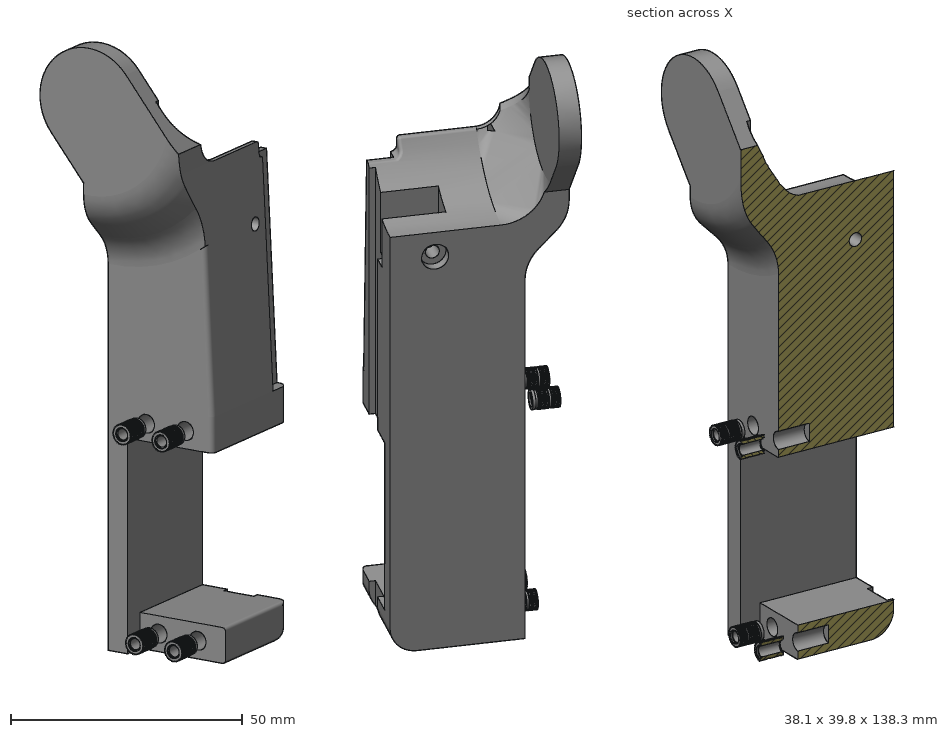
import cadquery as cq
import math

total_height = 138.27
paddle_radius = 12.5
paddle_thickness = 5.0
paddle_overhang = 11.2
paddle_x = paddle_radius - paddle_overhang
paddle_z = total_height - paddle_radius
paddle_lean = math.radians(50.5)

front_y = 9.8
back_y = 39.8
plate_thickness = 5.0
handle_width = 26.9
top_width = 24.0
handle_top = 112.9
taper_bottom = 56.7
window_top = 48.6
window_bottom = 8.1
foot_radius = 6.0
front_edge_radius = 1.2
back_corner_radius = 2.5
block_end_radius = 0.8
lower_block_setback = 5.0

bend_radius = 10.0
bend_angle = math.radians(45)
neck_start_radius = 20.7
bowl_radius = 24.9
bowl_y = paddle_thickness + bend_radius
rim_radius = 5.5
lip_radius = 0.8
shoulder_x = 16.0
shoulder_bevel = (1.0, 2.0)

step_y = 32.5
step_z = 109.0
step_radius = 1.3
rebate_y = step_y + step_radius
rebate_depth = 2.8

slot_left = 7.5
slot_width = 6.8
slot_front_y = 25.6
slot_floor = 90.0
channel_left = 11.4
channel_right = 19.0
channel_depth = 1.4

screw_y = 29.8
screw_z = 95.0
screw_diameter = 3.09
screw_head_diameter = 6.0
screw_head_depth = 2.5

overcut = 1.0
pick_margin = 0.1

insert_columns = (9.8, 19.8)
insert_edge_distance = 4.0
insert_upper_z = window_top + insert_edge_distance
insert_lower_z = window_bottom - insert_edge_distance
insert_hole_diameter = 4.2
insert_hole_depth = 8.0
insert_length = 6.2
insert_diameter = 4.6
insert_groove_diameter = 4.13
insert_bore_diameter = 2.53
insert_entry_diameter = 3.09
insert_entry_depth = 0.4
knurl_depth = 0.15
knurl_teeth = 36
knurl_bands = ((0.0, 2.0), (2.5, 2.5))
lead_collar_diameter = 4.44
lead_collar_length = 0.7


def box(x0, x1, y0, y1, z0, z1):
    """Box between two opposite corners."""
    return cq.Workplane("XY").box(x1 - x0, y1 - y0, z1 - z0, centered=False).translate((x0, y0, z0))


def extrude_y(sketch, y0, y1):
    """Extrude a wire drawn in X-Z from y0 to y1."""
    return sketch.extrude(-(y1 - y0)).translate((0, y0, 0))


def revolve_about_paddle(profile):
    """Turn a (radius, y) profile about the paddle axis."""
    turned = profile.close().revolve(360, (0, 0, 0), (0, 1, 0))
    return turned.translate((paddle_x, 0, paddle_z))


def make_bowl():
    """Hollow behind the paddle, with a round running from the paddle back to its wall."""
    flat_radius = bowl_radius - bend_radius
    diagonal = bend_radius * math.sin(bend_angle)
    profile = (
        cq.Workplane("XY")
        .moveTo(0, paddle_thickness)
        .lineTo(flat_radius, paddle_thickness)
        .threePointArc((flat_radius + diagonal, bowl_y - diagonal), (bowl_radius, bowl_y))
        .lineTo(bowl_radius, back_y + overcut)
        .lineTo(0, back_y + overcut)
    )
    return revolve_about_paddle(profile)


def make_neck():
    """Paddle and the S-shaped neck that carries it down to the handle front."""
    half_angle = bend_angle / 2
    run = bend_radius * math.sin(bend_angle)
    rise = bend_radius * (1 - math.cos(bend_angle))
    mid_run = bend_radius * math.sin(half_angle)
    mid_rise = bend_radius * (1 - math.cos(half_angle))
    straight = (front_y - 2 * rise) / math.tan(bend_angle)
    end_radius = neck_start_radius + 2 * run + straight
    profile = (
        cq.Workplane("XY")
        .lineTo(neck_start_radius, 0)
        .threePointArc((neck_start_radius + mid_run, mid_rise), (neck_start_radius + run, rise))
        .lineTo(end_radius - run, front_y - rise)
        .threePointArc((end_radius - mid_run, front_y - mid_rise), (end_radius, front_y))
        .lineTo(end_radius, bowl_y)
        .lineTo(0, bowl_y)
    )
    turned = revolve_about_paddle(profile)

    offset_x = paddle_radius * math.sin(paddle_lean)
    offset_z = paddle_radius * math.cos(paddle_lean)
    slope = math.tan(paddle_lean)
    left = (paddle_x - offset_x, paddle_z - offset_z)
    right = (paddle_x + offset_x, paddle_z + offset_z)
    crown = (paddle_x - offset_z, paddle_z + offset_x)
    outline = (
        cq.Workplane("XZ")
        .moveTo(*left)
        .threePointArc(crown, right)
        .lineTo(top_width, right[1] - slope * (top_width - right[0]))
        .lineTo(top_width, handle_top)
        .lineTo(handle_width, taper_bottom)
        .lineTo(0, taper_bottom)
        .lineTo(0, left[1] - slope * (0 - left[0]))
        .close()
    )
    neck = turned.intersect(extrude_y(outline, 0, bowl_y)).cut(make_bowl())

    shoulder_z = right[1] - slope * (shoulder_x - right[0])
    paddle = neck.intersect(box(-total_height, shoulder_x, 0, bowl_y, 0, total_height))
    shoulder = neck.intersect(box(shoulder_x, handle_width, 0, bowl_y, 0, total_height))
    bowl_edge = cq.selectors.BoxSelector(
        (shoulder_x + pick_margin, paddle_thickness - pick_margin, handle_top + lip_radius),
        (top_width - pick_margin, bowl_y - rim_radius, shoulder_z),
    )
    shoulder = shoulder.edges(bowl_edge).chamfer(*shoulder_bevel)

    arc_y = bowl_y - rim_radius
    arc_z = handle_top + rim_radius
    diagonal = rim_radius * math.sin(bend_angle)
    rim_cut = (
        cq.Workplane("YZ")
        .moveTo(arc_y, arc_z)
        .threePointArc((bowl_y - diagonal, arc_z - diagonal), (bowl_y, handle_top))
        .lineTo(bowl_y, total_height)
        .lineTo(arc_y, total_height)
        .close()
        .extrude(handle_width)
    )
    return paddle.union(shoulder).cut(rim_cut)


def make_handle():
    """Side plate with the tapered upper block."""
    outline = (
        cq.Workplane("XZ")
        .lineTo(0, handle_top)
        .lineTo(top_width, handle_top)
        .lineTo(handle_width, taper_bottom)
        .lineTo(handle_width, window_top)
        .lineTo(plate_thickness, window_top)
        .lineTo(plate_thickness, 0)
        .close()
    )
    handle = extrude_y(outline, front_y, back_y)
    side = cq.selectors.BoxSelector(
        (top_width - front_edge_radius, front_y - pick_margin, window_top),
        (handle_width + pick_margin, front_y + pick_margin, handle_top - pick_margin),
    )
    return handle.edges(side).fillet(front_edge_radius)


def make_lower_block():
    """Foot block, set back from the plate front."""
    block = box(0, handle_width, front_y + lower_block_setback, back_y, 0, window_bottom)
    return block.edges("|Y and >X").fillet(block_end_radius)


def make_rebate():
    """Tapered rebate along the back of the slanted side, ending on a ledge."""
    outline = (
        cq.Workplane("XZ")
        .moveTo(top_width - rebate_depth, handle_top)
        .lineTo(handle_width - rebate_depth, taper_bottom)
        .lineTo(handle_width + overcut, taper_bottom)
        .lineTo(handle_width + overcut, handle_top)
        .close()
    )
    return extrude_y(outline, rebate_y, back_y)


def make_corner_round():
    """Material outside the round upright corner at the back of the free side."""
    r = back_corner_radius
    corner = box(handle_width - r, handle_width, back_y - r, back_y, 0, taper_bottom)
    post = cq.Workplane("XY").center(handle_width - r, back_y - r).circle(r).extrude(taper_bottom)
    return corner.cut(post)


def make_foot_round():
    """Material outside the round at the bottom of the back face."""
    r = foot_radius
    corner = box(0, handle_width, back_y - r, back_y, 0, r)
    roller = cq.Workplane("YZ").center(back_y - r, r).circle(r).extrude(handle_width)
    return corner.cut(roller)


def make_rim_step():
    """Lowered back part of the rim, with a rounded inner corner."""
    step = box(plate_thickness, handle_width, step_y, back_y + overcut, step_z, handle_top + overcut)
    return step.edges("|X and <Y and <Z").fillet(step_radius)


def cylinder_y(diameter, x, y, z, length):
    """Cylinder that starts at y and runs toward +Y."""
    return cq.Workplane("XZ").circle(diameter / 2).extrude(-length).translate((x, y, z))


def cylinder_x(diameter, length):
    """Cylinder on the cross screw axis that starts at the plate side."""
    return cq.Workplane("YZ").center(screw_y, screw_z).circle(diameter / 2).extrude(length)


def round_bowl_lip(handle):
    """Round the bowl edge along the rim and along the lowered step."""
    for y0, y1, z in ((bowl_y, step_y, handle_top), (step_y, back_y, step_z)):
        lip = cq.selectors.BoxSelector(
            (plate_thickness, y0, z - pick_margin),
            (top_width - lip_radius, y1, z + pick_margin),
        )
        handle = handle.edges(lip).edges("|Y").fillet(lip_radius)
    return handle


def make_housing():
    """Whole holder: handle, neck with paddle and foot block, with all cuts."""
    housing = round_bowl_lip(make_handle().cut(make_bowl()).cut(make_rim_step()))
    housing = housing.union(make_neck())
    housing = housing.union(make_lower_block())
    housing = housing.cut(make_rebate()).cut(make_corner_round()).cut(make_foot_round())

    slot_right = slot_left + slot_width
    housing = housing.cut(box(slot_left, slot_right, slot_front_y, back_y, slot_floor, handle_top))
    housing = housing.cut(
        box(channel_left, channel_right, back_y - channel_depth, back_y, 0, handle_top)
    )
    housing = housing.cut(cylinder_x(screw_diameter, handle_width))
    housing = housing.cut(cylinder_x(screw_head_diameter, screw_head_depth))

    for x in insert_columns:
        for y, z in ((front_y, insert_upper_z), (front_y + lower_block_setback, insert_lower_z)):
            housing = housing.cut(cylinder_y(insert_hole_diameter, x, y, z, insert_hole_depth))
    return housing


def make_insert():
    """Threaded insert along +Y: grooved core, two knurled bands, a lead collar, stepped bore."""
    insert = cylinder_y(insert_groove_diameter, 0, 0, 0, insert_length)
    points = []
    for i in range(2 * knurl_teeth):
        radius = insert_diameter / 2 - knurl_depth * (i % 2)
        angle = math.pi * i / knurl_teeth
        points.append((radius * math.cos(angle), radius * math.sin(angle)))
    for start, length in knurl_bands:
        band = cq.Workplane("XZ").polyline(points).close()
        insert = insert.union(extrude_y(band, start, start + length))
    collar_start = insert_length - lead_collar_length
    insert = insert.union(cylinder_y(lead_collar_diameter, 0, collar_start, 0, lead_collar_length))
    for start in (0, insert_length - insert_entry_depth):
        insert = insert.cut(cylinder_y(insert_entry_diameter, 0, start, 0, insert_entry_depth))
    return insert.cut(cylinder_y(insert_bore_diameter, 0, 0, 0, insert_length))


housing = make_housing()
insert = make_insert()
inserts = []
for x in insert_columns:
    for y, z in ((0, insert_upper_z), (lower_block_setback, insert_lower_z)):
        inserts.append(insert.translate((x, y, z)).val())

result = cq.Compound.makeCompound([housing.val(), *inserts])